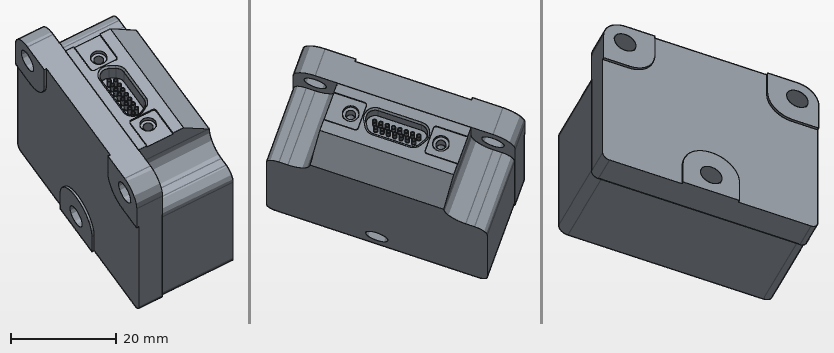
import cadquery as cq
import math


width = 44.75
height = 38.6
depth = 21.5
pad_height = 0.5
plate_back = 5.75
plate_top_radius = 4.48
plate_bottom_radius = 1.45
hole_diameter = 4.48
hole_inset = 4.55
upper_hole_x = width / 2 - plate_top_radius
upper_hole_z = height - hole_inset
corner_pad_width = 10.65
corner_pad_height = 10.87
corner_pad_radius = 5.3
bottom_pad_width = 11.72
bottom_pad_height = 10.9

cover_inset = 0.15
cover_half_width = width / 2 - cover_inset
cover_bottom = cover_inset
cover_top = height - cover_inset
cover_bottom_radius = 1.92
shoulder_radius = 2.55
scallop_radius = 4.45
slope_depth = 5.75
slope_drop = 4.55

screw_y = 10.5
connector_y = 10.55
recess_width = 5.77
recess_inner_x = 6.75
recess_corner_radius = 0.55
recess_depth = 0.35
screw_x = 9.1
counterbore_diameter = 3.15
counterbore_depth = 0.85
screw_diameter = 1.9
screw_depth = 3.6
drill_tip_angle = 118.0
shell_width = 12.25
shell_height = 4.65
shell_radius = 1.8
shell_side_angle = 60.0
shell_depth = 3.6
shell_chamfer = 0.4
chamfer_angle = 45.0
contact_row_spacing = 1.1
contact_diameter = 0.85
contact_bore = 0.6
contact_top_depth = 1.85
long_row_count = 8
short_row_count = long_row_count - 1
long_row_length = 8.9
contact_pitch = long_row_length / (long_row_count - 1)


def front_plane(y):
    """Sketch plane facing -Y, with local x along X and local y along Z."""
    return cq.Workplane("XZ", origin=(0, y, 0))


def make_plate():
    plate = cq.Workplane("XY").box(width, plate_back, height, centered=(True, False, False))
    plate = plate.edges("|Y and >Z").fillet(plate_top_radius)
    return plate.edges("|Y and <Z").fillet(plate_bottom_radius)


def make_pads():
    """Arch-shaped pad at the bottom and a rounded pad in each upper corner."""
    pads = (
        front_plane(pad_height)
        .rect(bottom_pad_width, 2 * (bottom_pad_height - bottom_pad_width / 2))
        .extrude(pad_height)
    )
    pads = pads.union(
        front_plane(pad_height)
        .center(0, bottom_pad_height - bottom_pad_width / 2)
        .circle(bottom_pad_width / 2)
        .extrude(pad_height)
    )
    for side in (-1, 1):
        corner_pad = (
            front_plane(pad_height)
            .center(side * width / 2, height)
            .rect(2 * corner_pad_width, 2 * corner_pad_height)
            .extrude(pad_height)
            .edges("|Y")
            .fillet(corner_pad_radius)
        )
        pads = pads.union(corner_pad)
    return pads


def make_base():
    """Plate whose front face is relieved everywhere except at the pads."""
    plate = make_plate()
    front_layer = cq.Workplane("XY").box(width, pad_height, height, centered=(True, False, False))
    return plate.cut(front_layer.cut(make_pads()))


def make_cover():
    """Housing notched round the two upper holes, with a sloped rear top edge."""
    neck_x = upper_hole_x - scallop_radius
    shoulder_z = upper_hole_z - scallop_radius
    scallop_offset = scallop_radius * math.sqrt(0.5)
    cover = (
        front_plane(depth)
        .moveTo(-cover_half_width, cover_bottom)
        .lineTo(cover_half_width, cover_bottom)
        .lineTo(cover_half_width, shoulder_z)
        .lineTo(upper_hole_x, shoulder_z)
        .threePointArc(
            (upper_hole_x - scallop_offset, upper_hole_z - scallop_offset),
            (neck_x, upper_hole_z),
        )
        .lineTo(neck_x, cover_top)
        .lineTo(-neck_x, cover_top)
        .lineTo(-neck_x, upper_hole_z)
        .threePointArc(
            (-upper_hole_x + scallop_offset, upper_hole_z - scallop_offset),
            (-upper_hole_x, shoulder_z),
        )
        .lineTo(-cover_half_width, shoulder_z)
        .close()
        .extrude(depth - plate_back)
    )
    cover = cover.edges("|Y and <Z").fillet(cover_bottom_radius)
    for side in (-1, 1):
        outer_corner = (side * cover_half_width, depth / 2, shoulder_z)
        shoulder_edge = cq.selectors.NearestToPointSelector(outer_corner)
        cover = cover.edges("|Y").edges(shoulder_edge).fillet(shoulder_radius)
    slope = (
        cq.Workplane("YZ")
        .polyline(
            [
                (depth - slope_depth, cover_top),
                (depth, cover_top - slope_drop),
                (depth, cover_top),
            ]
        )
        .close()
        .extrude(width / 2, both=True)
    )
    return cover.cut(slope)


def mounting_holes():
    positions = [(-upper_hole_x, upper_hole_z), (upper_hole_x, upper_hole_z), (0, hole_inset)]
    return front_plane(depth).pushPoints(positions).circle(hole_diameter / 2).extrude(depth)


def screw_recess(side):
    """Open-ended flat recess with a counterbored, drill-tipped screw hole."""
    recess_length = width / 2 - recess_inner_x
    recess = (
        cq.Workplane("XY", origin=(0, screw_y, cover_top - recess_depth))
        .center(side * (recess_inner_x + recess_length / 2), 0)
        .rect(recess_length, recess_width)
        .extrude(recess_depth)
        .edges("|Z")
        .fillet(recess_corner_radius)
    )
    tip_length = screw_diameter / 2 / math.tan(math.radians(drill_tip_angle / 2))
    hole = (
        cq.Workplane("XZ", origin=(side * screw_x, screw_y, cover_top - recess_depth))
        .polyline(
            [
                (0, 0),
                (counterbore_diameter / 2, 0),
                (counterbore_diameter / 2, -counterbore_depth),
                (screw_diameter / 2, -counterbore_depth),
                (screw_diameter / 2, -screw_depth),
                (0, -screw_depth - tip_length),
            ]
        )
        .close()
        .revolve(360, (0, 0), (0, 1))
    )
    return recess.union(hole)


def connector_pocket():
    """D-shaped socket, wider towards the base plate, with a chamfered rim."""
    side_angle = math.radians(shell_side_angle)
    corner_setback = shell_radius * math.tan((math.pi - side_angle) / 2)
    sharp_bottom = shell_width / 2 - shell_radius + corner_setback
    sharp_top = sharp_bottom - shell_height / math.tan(side_angle)
    pocket = (
        cq.Workplane("XY", origin=(0, connector_y, cover_top - shell_depth))
        .polyline(
            [
                (-sharp_bottom, -shell_height / 2),
                (sharp_bottom, -shell_height / 2),
                (sharp_top, shell_height / 2),
                (-sharp_top, shell_height / 2),
            ]
        )
        .close()
        .extrude(shell_depth)
        .edges("|Z")
        .fillet(shell_radius)
    )
    rim = (
        pocket.faces(">Z")
        .workplane(centerOption="CenterOfBoundBox")
        .add(pocket.faces(">Z").wires())
        .toPending()
        .offset2D(shell_chamfer)
        .extrude(-shell_chamfer, taper=chamfer_angle)
    )
    return pocket.union(rim)


def make_contacts():
    """Two staggered rows of hollow contacts standing on the pocket floor."""
    contact_base = cover_top - shell_depth
    contact_length = shell_depth - contact_top_depth
    contacts = []
    rows = [(long_row_count, -contact_row_spacing / 2), (short_row_count, contact_row_spacing / 2)]
    for count, row_y in rows:
        row = (
            cq.Workplane("XY", origin=(0, connector_y + row_y, contact_base))
            .rarray(contact_pitch, 0.45, count, 1)
            .circle(contact_diameter / 2)
            .circle(contact_bore / 2)
            .extrude(contact_length)
        )
        contacts.extend(row.vals())
    return contacts


body = make_base().union(make_cover()).cut(mounting_holes())
for side in (-1, 1):
    body = body.cut(screw_recess(side))
body = body.cut(connector_pocket())
result = body.union(cq.Workplane().newObject(make_contacts())).solids()